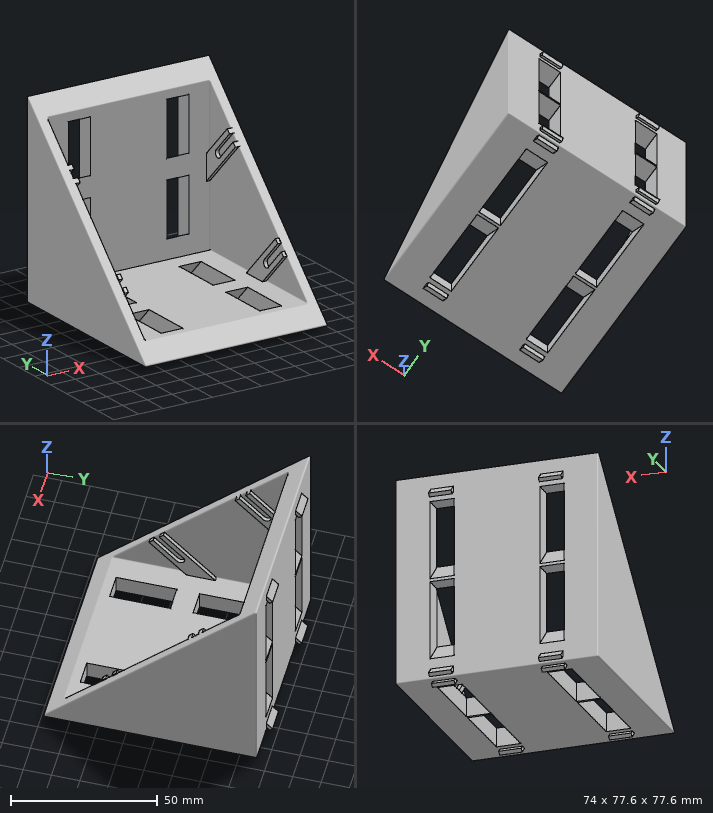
import cadquery as cq
import math


width = 74.0
sharp_leg = 76.05
wall = 7.0
side_wall = 4.0
edge_radius = 0.5
cavity_half_width = width / 2 - side_wall

column_offset = 20.0
window_width = 8.85
window_length = 21.4
window_centers = (25.4, 54.9)
hook_width = 8.2
hook_thickness = 1.5
hook_projection = 2.25
hook_root = 1.55
hook_centers = (2.9, 69.1)

rib_spacing = 43.1
rib_width = 7.2
rib_height = 1.5
slot_width = 3.2
slot_depth = 13.5

diagonal = math.sqrt(2)


def mirrored(solid):
    """Return the solid together with its mirror image across the wedge's middle plane."""
    return solid.union(solid.mirror("YZ"))


def hollow_wedge():
    """Rounded triangular shell, open on its sloping face."""
    outer = (
        cq.Workplane("YZ")
        .polyline([(0, 0), (-sharp_leg, 0), (0, sharp_leg)])
        .close()
        .extrude(width / 2, both=True)
        .edges()
        .fillet(edge_radius)
    )
    cavity = (
        cq.Workplane("XY")
        .box(2 * cavity_half_width, sharp_leg, sharp_leg, centered=(True, False, False))
        .translate((0, -wall - sharp_leg, wall))
        .edges("(|Z and >Y) or (|Y and <Z)")
        .fillet(edge_radius)
    )
    shell = outer.cut(cavity)
    sloping_face = shell.faces(cq.selectors.DirectionMinMaxSelector(cq.Vector(0, -1, 1))).val()
    rim = sloping_face.innerWires()[0].Edges()
    return shell.newObject(rim).fillet(edge_radius)


def back_wall_point(along, depth):
    """(Y, Z) of a point at a height along the back wall and a depth inside its outer face."""
    return (-depth, along)


def bottom_wall_point(along, depth):
    """(Y, Z) of a point at a distance along the bottom wall and a depth above its outer face."""
    return (-along, depth)


def window_pair(wall_point, center):
    """Cutters for two windows side by side, flared at 45 degrees towards the back lower corner."""
    near_end = center - window_length / 2
    far_end = center + window_length / 2
    profile = [(near_end, wall), (far_end, wall), (far_end, 0), (near_end - wall, 0)]
    cutter = (
        cq.Workplane("YZ", origin=(column_offset, 0, 0))
        .polyline([wall_point(along, depth) for along, depth in profile])
        .close()
        .extrude(window_width / 2, both=True)
    )
    return mirrored(cutter)


def slope_plane(x, y, z):
    """Plane across X whose local x runs down the slope and local y points away from it."""
    return cq.Plane(origin=(x, y, z), xDir=(0, -1, -1), normal=(1, 0, 0))


def hook_pair(y, z):
    """Two tabs square to the sloping face, centred on a line of an outer wall."""
    outward = hook_projection * diagonal - hook_thickness / 2
    tab = (
        cq.Workplane(slope_plane(column_offset, y, z))
        .center(0, (outward - hook_root) / 2)
        .rect(hook_thickness, outward + hook_root)
        .extrude(hook_width / 2, both=True)
    )
    return mirrored(tab)


def rib_pair(slope_position, outer_x):
    """Ribs from the cavity out to outer_x, each with a round-ended slot open at the slope."""
    middle = sharp_leg / 2
    drop = slope_position / diagonal
    plane = slope_plane(cavity_half_width - rib_height, -middle - drop, middle - drop)
    run_to_wall = middle - rib_spacing / 2 / diagonal - wall / 2
    thickness = outer_x - cavity_half_width + rib_height
    rib = (
        cq.Workplane(plane)
        .rect(rib_width, run_to_wall * diagonal, centered=(True, False))
        .extrude(thickness)
    )
    slot = (
        cq.Workplane(plane)
        .slot2D(2 * slot_depth, slot_width, 90)
        .extrude(thickness)
    )
    return mirrored(rib.cut(slot))


result = hollow_wedge()

result = result.union(rib_pair(-rib_spacing / 2, cavity_half_width + edge_radius))
result = result.union(rib_pair(rib_spacing / 2, cavity_half_width))

for wall_point in (back_wall_point, bottom_wall_point):
    for center in hook_centers:
        result = result.union(hook_pair(*wall_point(center, 0)))
    for center in window_centers:
        result = result.cut(window_pair(wall_point, center))